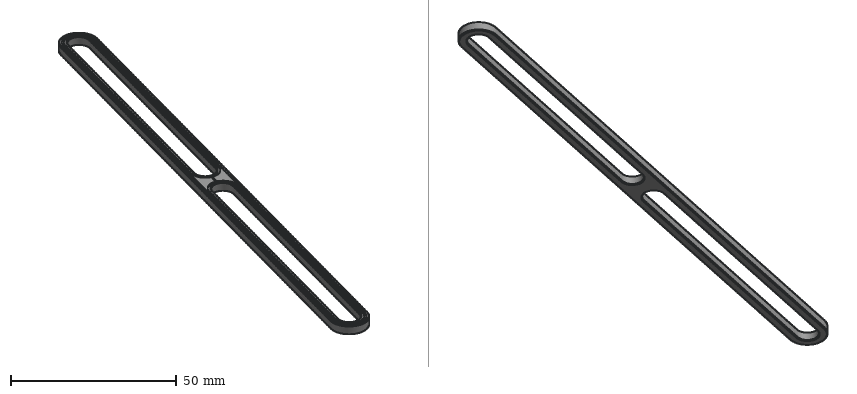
import cadquery as cq

length = 200.0
width = 12.5
height = 3.2
edge_chamfer = 0.32

slot_width = 7.0
wall = (width - slot_width) / 2
slot_length = length / 2 - 2 * wall
slot_center = length / 4
bridge_waist = 2 * wall

outer_lip = 1.0
slot_lip = 1.1
groove_depth = 0.2
groove_floor = height - groove_depth

rib_width = 0.2


def stadium(bar_length, bar_width, z_bottom, z_top, x_center=0.0):
    """Round-ended bar along X between two heights."""
    return (
        cq.Workplane("XY", origin=(x_center, 0, z_bottom))
        .slot2D(bar_length, bar_width)
        .extrude(z_top - z_bottom)
    )


def slot_pair(lip, z_bottom, z_top):
    """Both slots, widened by a lip on every side."""
    left, right = [
        stadium(slot_length + 2 * lip, slot_width + 2 * lip, z_bottom, z_top, x_center)
        for x_center in (-slot_center, slot_center)
    ]
    return left.union(right)


def chamfered_frame():
    """Plate with both slots cut through and its edges chamfered."""
    plate = stadium(length, width, 0, height)
    frame = plate.cut(slot_pair(0, 0, height))
    return frame.faces("<Z or >Z").edges().chamfer(edge_chamfer)


def groove():
    """Space between the lips, interrupted by the rib."""
    inside = stadium(length - 2 * outer_lip, width - 2 * outer_lip, groove_floor, height)
    rib = cq.Workplane("XY").box(bridge_waist, rib_width, height, centered=(True, True, False))
    return inside.cut(slot_pair(slot_lip, groove_floor, height)).cut(rib)


result = chamfered_frame().cut(groove())